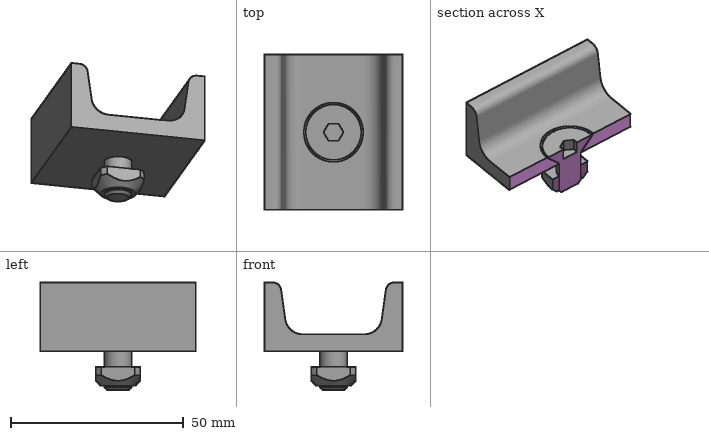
import cadquery as cq
import math

block_width = 40.0
block_length = 45.0
block_height = 20.0
floor_thickness = 5.0
floor_half_width = 13.3
wall_taper = 8.0
floor_fillet = 5.0
rim_fillet = 2.5

screw_radius = 4.0
head_radius = 8.0
countersink_radius = 8.6
socket_across_flats = 5.0
socket_depth = 3.6
tip_chamfer = 0.9
tip_z = -11.2

head_recess = 0.2
head_top_z = floor_thickness - head_recess
head_cone_top_z = floor_thickness - (countersink_radius - head_radius)
head_bottom_z = head_cone_top_z - (head_radius - screw_radius)

nut_width = 13.0
nut_top_z = -4.5
nut_height = 5.5
nut_corner_radius = 8.15
nut_cone_radius = 5.0
nut_bottom_z = nut_top_z - nut_height


def make_block():
    """Tapered channel with a countersunk hole through its floor."""
    half_width = block_width / 2
    wall_rise = block_height - floor_thickness
    top_half_width = floor_half_width + wall_rise * math.tan(math.radians(wall_taper))

    block = (
        cq.Workplane("XZ")
        .moveTo(-half_width, 0)
        .lineTo(half_width, 0)
        .lineTo(half_width, block_height)
        .lineTo(top_half_width, block_height)
        .lineTo(floor_half_width, floor_thickness)
        .lineTo(-floor_half_width, floor_thickness)
        .lineTo(-top_half_width, block_height)
        .lineTo(-half_width, block_height)
        .close()
        .extrude(block_length / 2, both=True)
    )
    for side in (-1, 1):
        floor_corner = (side * floor_half_width, 0, floor_thickness)
        rim_corner = (side * top_half_width, 0, block_height)
        block = block.edges(cq.NearestToPointSelector(floor_corner)).fillet(floor_fillet)
        block = block.edges(cq.NearestToPointSelector(rim_corner)).fillet(rim_fillet)

    hole = (
        cq.Workplane("XZ")
        .lineTo(screw_radius, 0)
        .lineTo(screw_radius, head_bottom_z)
        .lineTo(countersink_radius, floor_thickness)
        .lineTo(0, floor_thickness)
        .close()
        .revolve(360, (0, 0), (0, 1))
    )
    return block.cut(hole)


def make_screw():
    """Countersunk screw with a cylindrical rim, a hexagon socket and a chamfered tip."""
    screw = (
        cq.Workplane("XZ")
        .moveTo(0, tip_z)
        .lineTo(screw_radius - tip_chamfer, tip_z)
        .lineTo(screw_radius, tip_z + tip_chamfer)
        .lineTo(screw_radius, head_bottom_z)
        .lineTo(head_radius, head_cone_top_z)
        .lineTo(head_radius, head_top_z)
        .lineTo(0, head_top_z)
        .close()
        .revolve(360, (0, 0), (0, 1))
    )
    socket = (
        cq.Workplane("XY", origin=(0, 0, head_top_z))
        .polygon(6, socket_across_flats / math.cos(math.radians(30)))
        .extrude(-socket_depth)
    )
    return screw.cut(socket)


def make_nut():
    """Square nut with rounded corners and a conical lower side."""
    nut = (
        cq.Workplane("XY", origin=(0, 0, nut_bottom_z))
        .rect(nut_width, nut_width)
        .extrude(nut_height)
    )
    cone_top_z = nut_bottom_z + nut_corner_radius - nut_cone_radius
    envelope = (
        cq.Workplane("XZ")
        .moveTo(0, nut_bottom_z)
        .lineTo(nut_cone_radius, nut_bottom_z)
        .lineTo(nut_corner_radius, cone_top_z)
        .lineTo(nut_corner_radius, nut_top_z)
        .lineTo(0, nut_top_z)
        .close()
        .revolve(360, (0, 0), (0, 1))
    )
    bore = (
        cq.Workplane("XY", origin=(0, 0, nut_bottom_z))
        .circle(screw_radius)
        .extrude(nut_height)
    )
    return nut.intersect(envelope).cut(bore)


block = make_block()
screw = make_screw()
nut = make_nut()

result = cq.Compound.makeCompound([block.solids().val(), screw.solids().val(), nut.solids().val()])